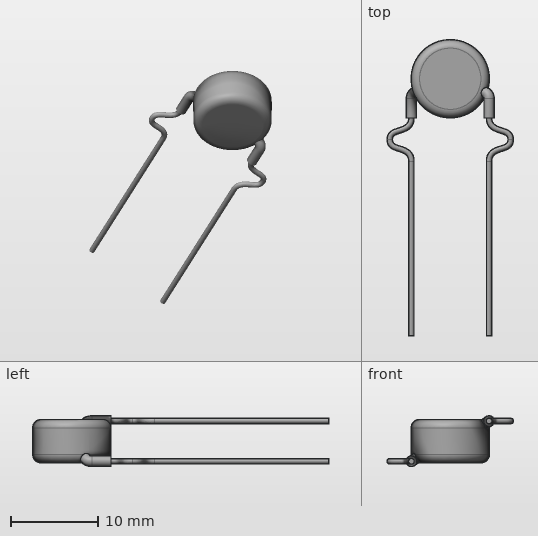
import cadquery as cq
import math

disc_diameter = 9.0
disc_height = 5.0
disc_edge_radius = 1.0

overall_length = 34.0
lead_diameter = 0.65
lead_x = 4.45
lead_z = 2.3
kink_offset = 2.48
kink_half_length = 2.48
flank_rise = 1.1

sleeve_diameter = 1.22
sleeve_length = 2.2
sleeve_bend_radius = 0.75
sleeve_bend_slope = 35.0
sleeve_root_length = 0.68

sleeve_end_y = -disc_diameter / 2
sleeve_top_y = sleeve_end_y + sleeve_length
kink_peak_y = sleeve_end_y - kink_half_length
kink_end_y = kink_peak_y - kink_half_length
lead_tip_y = disc_diameter / 2 - overall_length
kink_peak_x = lead_x + kink_offset

turns_about_y = (0, 180)


def turned(shape, angle):
    return shape.rotate((0, 0, 0), (0, 1, 0), angle)


def make_disc():
    disc = cq.Workplane("XY").cylinder(disc_height, disc_diameter / 2)
    return disc.edges().fillet(disc_edge_radius)


def make_sleeve():
    """Straight sleeve whose top bends inward, sloping toward mid-height, into the disc."""
    slope = math.radians(sleeve_bend_slope)
    inward = cq.Vector(-math.cos(slope), 0, -math.sin(slope))
    along = cq.Vector(0, 1, 0)
    start = cq.Vector(lead_x, sleeve_end_y, lead_z)
    bend_start = cq.Vector(lead_x, sleeve_top_y, lead_z)
    bend_centre = bend_start + inward * sleeve_bend_radius
    bend_middle = bend_centre + (along - inward).normalized() * sleeve_bend_radius
    bend_end = bend_centre + along * sleeve_bend_radius
    root = bend_end + inward * sleeve_root_length
    path = cq.Workplane("XY").add(cq.Wire.assembleEdges([
        cq.Edge.makeLine(start, bend_start),
        cq.Edge.makeThreePointArc(bend_start, bend_middle, bend_end),
        cq.Edge.makeLine(bend_end, root),
    ]))
    profile = cq.Workplane("XZ", origin=start.toTuple()).circle(sleeve_diameter / 2)
    return profile.sweep(path)


def make_lead():
    """Round wire starting inside the sleeve, with one outward kink below it."""
    downward = (0, -1)
    flank_x = lead_x + kink_offset / 2
    path = (
        cq.Workplane("XY", origin=(0, 0, lead_z))
        .moveTo(lead_x, sleeve_top_y)
        .lineTo(lead_x, sleeve_end_y)
        .spline(
            [(flank_x, kink_peak_y + flank_rise), (kink_peak_x, kink_peak_y)],
            tangents=[downward, downward],
            includeCurrent=True,
        )
        .spline(
            [(flank_x, kink_peak_y - flank_rise), (lead_x, kink_end_y)],
            tangents=[downward, downward],
            includeCurrent=True,
        )
        .lineTo(lead_x, lead_tip_y)
    )
    profile = cq.Workplane("XZ", origin=(lead_x, sleeve_top_y, lead_z)).circle(lead_diameter / 2)
    return profile.sweep(path)


def make_lead_hole():
    """Blind hole that takes the straight upper end of a lead."""
    hole = cq.Workplane("XZ", origin=(lead_x, sleeve_top_y, lead_z))
    return hole.circle(lead_diameter / 2).extrude(sleeve_length)


coating = make_disc()
for angle in turns_about_y:
    coating = coating.union(turned(make_sleeve(), angle))
for angle in turns_about_y:
    coating = coating.cut(turned(make_lead_hole(), angle))

leads = []
for angle in turns_about_y:
    leads.append(turned(make_lead(), angle).val())

result = cq.Compound.makeCompound([coating.val(), *leads])